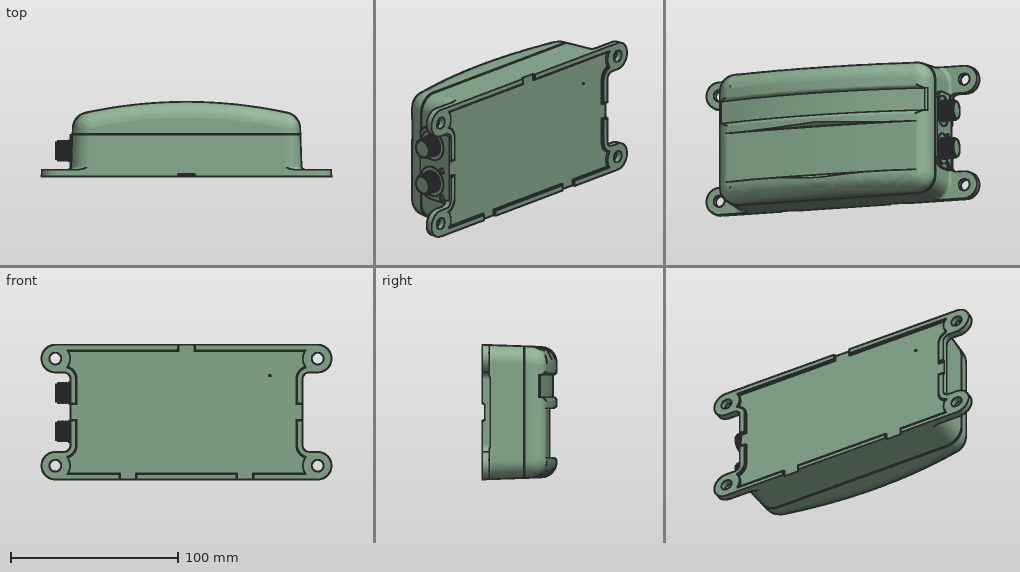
import cadquery as cq
import math

LENGTH = 173.8
HEIGHT = 80.8
WAIST_LENGTH = 139.0
PLATE_THICKNESS = 4.2
EAR_RADIUS = 8.3
EAR_HOLE_RADIUS = 3.5
WAIST_FILLET = 4.0
DRAFT = 2.0
LEVEL_TOLERANCE = 0.02
EAR_X = LENGTH / 2 - EAR_RADIUS
EAR_Z = HEIGHT / 2 - EAR_RADIUS
EAR_CENTRES = [(z, x) for z in (-EAR_Z, EAR_Z) for x in (-EAR_X, EAR_X)]

RIM_WIDTH = 3.8
RECESS_DEPTH = 1.5
RIM_STEP_DEPTH = 0.7
RIM_STEP_WIDTH = 0.5
EAR_PAD_RADIUS = 8.9
GAP_WIDTH = 9.4
LOWER_GAP_X = 35.0
PINHOLE_RADIUS = 0.5
PINHOLE_DEPTH = 0.9
PINHOLE_X = 49.9
PINHOLE_Z = 21.9

TOTAL_DEPTH = 44.8
BODY_LENGTH = 138.3
BODY_CORNER = 10.5
FOOT_FILLET = 1.9
DOME_FILLET = 9.9
SHOULDER_X = 60.8
SHOULDER_Y = 38.2
SEAM_Y = 25.4
SEAM_WIDTH = 0.5
SEAM_DEPTH = 0.3

BAND_EDGE_RADIUS = 2.3
CHANNEL_DEPTH = 2.3
CHANNEL_LIP = 0.9
CHANNEL_Z = (9.0, 22.5)
SADDLE_DEPTH = 4.2
SADDLE_Z = (-27.3, 2.3)

PAD_X = 69.5
PAD_DEPTH = 1.7
PAD_DRAFT = 27.0
PAD_CORNER = 11.5
CONNECTOR_Y = 15.5
CONNECTOR_Z = 11.5
CONNECTOR_ROWS = (-CONNECTOR_Z, CONNECTOR_Z)
SEAT_RADIUS = 9.2
SEAT_DEPTH = 0.3
CONNECTOR_TIP_X = 78.2
THREAD_RADIUS = 6.0
THREAD_ROOT_RADIUS = 5.2
COLLAR_RADIUS = 6.5
COLLAR_LENGTH = 0.9
THREAD_PITCH = 1.0
THREAD_COUNT = 7
THREAD_LEAD = 0.9
INDICATOR_RADIUS = 1.7
INDICATOR_DEPTH = 0.9
INDICATOR_Y = 7.5
INDICATOR_Z = (-3.0, -20.2)


def arch_radius(rise):
    """Radius of an arch over the two shoulders with the given rise."""
    return (SHOULDER_X ** 2 + rise ** 2) / (2 * rise)


def back_plane(y=0.0):
    """Plane facing +Y, with local axes (Z, X)."""
    return cq.Workplane("ZX", origin=(0, y, 0))


def end_plane(x):
    """Plane facing -X at distance x from the middle, with local axes (Z, Y)."""
    return cq.Workplane("ZY", origin=(-x, 0, 0))


def plate_outline(inset):
    """Waisted outline with four round ears, moved inward by the inset."""
    edge_z = HEIGHT / 2 - inset
    root_z = EAR_Z - EAR_RADIUS + inset
    tip_x = LENGTH / 2 - inset
    waist_x = WAIST_LENGTH / 2 - inset
    fillet = WAIST_FILLET + inset
    outline = back_plane().moveTo(edge_z, -EAR_X)
    for side in (1, -1):
        outline = (
            outline.lineTo(side * edge_z, side * EAR_X)
            .threePointArc((side * EAR_Z, side * tip_x), (side * root_z, side * EAR_X))
            .lineTo(side * root_z, side * (waist_x + fillet))
            .radiusArc((side * (root_z - fillet), side * waist_x), fillet)
            .lineTo(-side * (root_z - fillet), side * waist_x)
            .radiusArc((-side * root_z, side * (waist_x + fillet)), fillet)
            .lineTo(-side * root_z, side * EAR_X)
            .threePointArc((-side * EAR_Z, side * tip_x), (-side * edge_z, side * EAR_X))
        )
    return outline.close()


def body_block(depth):
    """Drafted, round-cornered block standing on the back face."""
    block = back_plane().rect(HEIGHT, BODY_LENGTH).extrude(depth, taper=DRAFT)
    return block.edges("not(<Y or >Y)").fillet(BODY_CORNER)


def make_plate():
    """Plate with the fillet that blends the housing into it."""
    foot_top = PLATE_THICKNESS + FOOT_FILLET
    slab = back_plane().rect(2 * HEIGHT, 2 * LENGTH).extrude(PLATE_THICKNESS)
    flare = slab.union(body_block(2 * foot_top))
    at_foot = cq.selectors.BoxSelector(
        (-LENGTH / 2, PLATE_THICKNESS - LEVEL_TOLERANCE, -HEIGHT / 2),
        (LENGTH / 2, PLATE_THICKNESS + LEVEL_TOLERANCE, HEIGHT / 2),
    )
    flare = flare.edges(at_foot).fillet(FOOT_FILLET)
    column = plate_outline(0).extrude(foot_top, taper=DRAFT)
    return column.intersect(flare)


def make_housing():
    """Drafted body closed by a dome that is arched along X."""
    rise = TOTAL_DEPTH - SHOULDER_Y
    radius = arch_radius(rise)
    side_x = LENGTH / 2
    side_y = TOTAL_DEPTH - radius + math.sqrt(radius ** 2 - side_x ** 2)
    dome = (
        cq.Workplane("XY", origin=(0, 0, -HEIGHT / 2))
        .moveTo(-side_x, 0)
        .lineTo(-side_x, side_y)
        .threePointArc((0, TOTAL_DEPTH), (side_x, side_y))
        .lineTo(side_x, 0)
        .close()
        .extrude(HEIGHT)
    )
    housing = body_block(TOTAL_DEPTH + DOME_FILLET).intersect(dome)
    return housing.faces(">Y").edges().fillet(DOME_FILLET)


def cut_seam(housing):
    """Thin groove around the housing where the lid meets the tub."""
    low = SEAM_Y - SEAM_WIDTH / 2
    ring = back_plane(low).rect(HEIGHT, LENGTH).extrude(SEAM_WIDTH)
    inset = SEAM_DEPTH + low * math.tan(math.radians(DRAFT))
    core = (
        back_plane(low)
        .rect(HEIGHT - 2 * inset, BODY_LENGTH - 2 * inset)
        .extrude(SEAM_WIDTH)
        .edges("|Y")
        .fillet(BODY_CORNER)
    )
    return housing.cut(ring.cut(core))


def band_cutter(z_range, depth, floor_radius):
    """Band swept along an arch about Z, with rounded upper edges."""
    z_low, z_high = z_range
    arc_drop = BAND_EDGE_RADIUS * (1 - math.sqrt(0.5))
    floor_y = TOTAL_DEPTH - depth
    wall_y = TOTAL_DEPTH - BAND_EDGE_RADIUS
    outer_low = z_low - BAND_EDGE_RADIUS
    outer_high = z_high + BAND_EDGE_RADIUS
    clear_y = TOTAL_DEPTH + depth
    profile = cq.Workplane("ZY").moveTo(z_low, floor_y).lineTo(z_high, floor_y)
    if depth > BAND_EDGE_RADIUS:
        profile = profile.lineTo(z_high, wall_y)
    profile = (
        profile.threePointArc((z_high + arc_drop, TOTAL_DEPTH - arc_drop), (outer_high, TOTAL_DEPTH))
        .lineTo(outer_high, clear_y)
        .lineTo(outer_low, clear_y)
        .lineTo(outer_low, TOTAL_DEPTH)
        .threePointArc((z_low - arc_drop, TOTAL_DEPTH - arc_drop), (z_low, wall_y))
        .close()
    )
    axis_y = floor_y - floor_radius
    half_angle = math.degrees(math.asin(LENGTH / 2 / floor_radius))
    band = profile.revolve(2 * half_angle, (0, axis_y), (1, axis_y))
    return band.rotate((0, axis_y, 0), (0, axis_y, 1), -half_angle)


def make_pad():
    """Raised connector pad on the -X end, rounded about the two connectors and cut off at the seam."""
    growth = PAD_DEPTH * math.tan(math.radians(PAD_DRAFT))
    half_width = CONNECTOR_Z + PAD_CORNER + growth
    corner = PAD_CORNER + growth
    outline = (
        end_plane(PAD_X - PAD_DEPTH)
        .moveTo(-half_width, -growth)
        .lineTo(half_width, -growth)
        .lineTo(half_width, CONNECTOR_Y)
        .radiusArc((CONNECTOR_Z, CONNECTOR_Y + corner), -corner)
        .lineTo(-CONNECTOR_Z, CONNECTOR_Y + corner)
        .radiusArc((-half_width, CONNECTOR_Y), -corner)
        .close()
    )
    pad = outline.extrude(PAD_DEPTH, taper=PAD_DRAFT)
    pad_top = SEAM_Y - SEAM_WIDTH / 2
    keep = back_plane(RECESS_DEPTH).rect(HEIGHT, LENGTH).extrude(pad_top - RECESS_DEPTH)
    return pad.intersect(keep)


def make_connector(z):
    """Threaded connector pointing toward -X."""
    thread_start = CONNECTOR_TIP_X - THREAD_LEAD
    profile = (
        cq.Workplane("XY")
        .moveTo(-CONNECTOR_TIP_X, 0)
        .lineTo(-CONNECTOR_TIP_X, THREAD_ROOT_RADIUS)
        .lineTo(-thread_start, THREAD_ROOT_RADIUS)
    )
    for turn in range(THREAD_COUNT):
        root_x = thread_start - turn * THREAD_PITCH
        profile = (
            profile.lineTo(THREAD_PITCH / 2 - root_x, THREAD_RADIUS)
            .lineTo(THREAD_PITCH - root_x, THREAD_ROOT_RADIUS)
        )
    thread_end = thread_start - THREAD_COUNT * THREAD_PITCH
    collar_x = PAD_X + COLLAR_LENGTH
    embedded_x = PAD_X - PAD_DEPTH
    profile = (
        profile.lineTo(-thread_end, THREAD_RADIUS)
        .lineTo(-collar_x, THREAD_RADIUS)
        .lineTo(-collar_x, COLLAR_RADIUS)
        .lineTo(-embedded_x, COLLAR_RADIUS)
        .lineTo(-embedded_x, 0)
        .close()
    )
    return profile.revolve(360, (0, 0), (1, 0)).translate((0, CONNECTOR_Y, z))


def recess_cutter(depth, growth):
    """Back recess and drain gaps, with the walls along the rim moved outward by the growth."""
    ear_pads = back_plane().pushPoints(EAR_CENTRES).circle(EAR_PAD_RADIUS).extrude(depth)
    recess = plate_outline(RIM_WIDTH - growth).extrude(depth).cut(ear_pads)
    reach = 4 * RIM_WIDTH
    width = GAP_WIDTH + 2 * growth
    end_gaps = (
        back_plane()
        .pushPoints([(0, -WAIST_LENGTH / 2), (0, WAIST_LENGTH / 2)])
        .rect(width, reach)
        .extrude(depth)
    )
    long_gaps = (
        back_plane()
        .pushPoints([(HEIGHT / 2, 0), (-HEIGHT / 2, -LOWER_GAP_X), (-HEIGHT / 2, LOWER_GAP_X)])
        .rect(reach, width)
        .extrude(depth)
    )
    return recess.union(end_gaps).union(long_gaps)


def cut_back(part):
    """Stepped recess, ear holes and pinhole in the back face."""
    holes = back_plane().pushPoints(EAR_CENTRES).circle(EAR_HOLE_RADIUS).extrude(2 * PLATE_THICKNESS)
    pinhole = (
        back_plane()
        .center(PINHOLE_Z, PINHOLE_X)
        .circle(PINHOLE_RADIUS)
        .extrude(RECESS_DEPTH + PINHOLE_DEPTH)
    )
    part = part.cut(recess_cutter(RECESS_DEPTH, 0))
    part = part.cut(recess_cutter(RIM_STEP_DEPTH, RIM_STEP_WIDTH))
    return part.cut(holes).cut(pinhole)


def sink_bands(housing):
    """Channel parallel to the dome and a saddle that fades out at the two shoulders."""
    rise = TOTAL_DEPTH - SHOULDER_Y
    channel_radius = arch_radius(rise) - CHANNEL_DEPTH
    saddle_radius = arch_radius(rise - SADDLE_DEPTH)
    housing = housing.cut(band_cutter(CHANNEL_Z, CHANNEL_DEPTH, channel_radius))
    floor_middle = (0, TOTAL_DEPTH - CHANNEL_DEPTH, sum(CHANNEL_Z) / 2)
    floor = cq.selectors.NearestToPointSelector(floor_middle)
    for end in ("<X", ">X"):
        lip = housing.faces(floor).edges(end)
        housing = housing.newObject(lip.vals()).chamfer(CHANNEL_LIP)
    return housing.cut(band_cutter(SADDLE_Z, SADDLE_DEPTH, saddle_radius))


def cut_connector_side(part):
    """Shallow round seats around the connectors and two indicator recesses."""
    seats = (
        end_plane(PAD_X - SEAT_DEPTH)
        .pushPoints([(z, CONNECTOR_Y) for z in CONNECTOR_ROWS])
        .circle(SEAT_RADIUS)
        .extrude(PAD_DEPTH)
    )
    indicators = (
        end_plane(PAD_X - INDICATOR_DEPTH)
        .pushPoints([(z, INDICATOR_Y) for z in INDICATOR_Z])
        .circle(INDICATOR_RADIUS)
        .extrude(PAD_DEPTH)
    )
    return part.cut(seats).cut(indicators)


housing = sink_bands(cut_seam(make_housing()))
result = make_plate().union(housing).union(make_pad())
result = cut_connector_side(result)
for row in CONNECTOR_ROWS:
    result = result.union(make_connector(row))
result = cut_back(result)